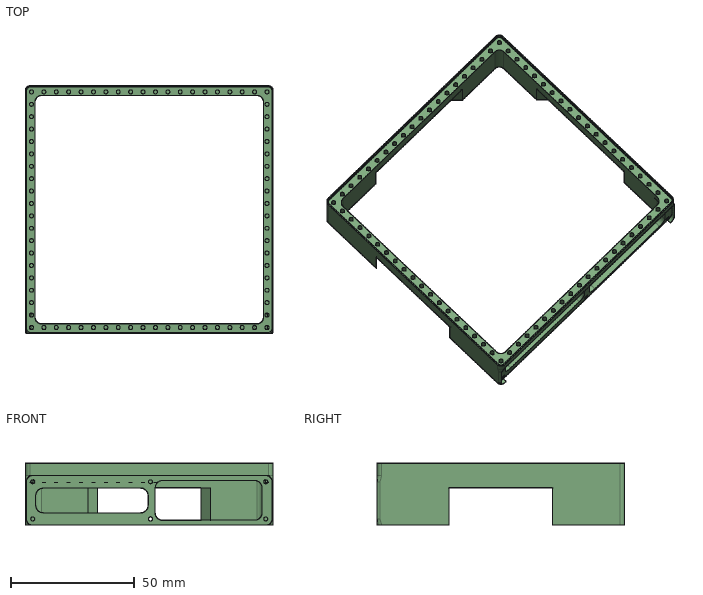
import cadquery as cq
import math

side = 100.0
height = 25.0
wall = 4.0
inner_corner_radius = 2.5
outer_corner_radius = 2.0

rim_width = 0.5
rim_height = 1.6

hole_diameter = 1.6
hole_inset = 2.5
hole_pitch = 5.0
hole_floor_z = 17.2

notch_height = 15.0
notch_outer_width = 41.6

panel_height = 20.0
panel_depth = 1.6
panel_corner_radius = 2.5
lip_inset = 0.45
lip_center_y = 1.3

screw_x_positions = (3.0, 50.5, 97.0)
screw_z_positions = (2.5, 17.5)
screw_depth = 8.0

small_window = (4.2, 49.5, 5.0, 14.9)
large_window = (52.4, 95.5, 2.0, 18.0)
window_corner_radius = 3.0

margin = 1.0


def front_prism(x_start, x_end, z_start, z_end, depth, corner_radius):
    """Rounded rectangle in XZ, running from ahead of the front face to the given depth."""
    return (
        cq.Workplane("XY")
        .box(x_end - x_start, depth + margin, z_end - z_start, centered=False)
        .translate((x_start, -margin, z_start))
        .edges("|Y")
        .fillet(corner_radius)
    )


def wall_ring():
    outer = cq.Workplane("XY").box(side, side, height, centered=False)
    outer = outer.edges("|Z and >Y").fillet(outer_corner_radius)
    opening_side = side - 2 * wall
    opening = (
        cq.Workplane("XY")
        .box(opening_side, opening_side, height, centered=False)
        .edges("|Z")
        .fillet(inner_corner_radius)
        .translate((wall, wall, 0))
    )
    return outer.cut(opening)


def corner_section(plane, center_y):
    """Waste outside a rounded left front corner whose arc is centred at center_y."""
    radius = outer_corner_radius
    diagonal = radius * (1 - math.sqrt(0.5))
    front_y = center_y - radius
    return (
        plane.moveTo(0, center_y)
        .threePointArc((diagonal, front_y + diagonal), (radius, front_y))
        .lineTo(radius, front_y - margin)
        .lineTo(-margin, front_y - margin)
        .lineTo(-margin, center_y)
        .close()
    )


def left_front_corner_waste():
    """Corner rounding that moves forward beside the panel, so its lip reaches the front."""
    low_z = panel_corner_radius
    high_z = panel_height - panel_corner_radius
    levels = (
        (0, outer_corner_radius),
        (low_z, lip_center_y),
        (high_z, lip_center_y),
        (panel_height, outer_corner_radius),
        (height, outer_corner_radius),
    )
    waste = cq.Workplane("XY")
    for (z_start, start_y), (z_end, end_y) in zip(levels, levels[1:]):
        section = corner_section(cq.Workplane("XY").workplane(offset=z_start), start_y)
        section = corner_section(section.workplane(offset=z_end - z_start), end_y)
        waste = waste.add(section.loft(ruled=True))
    return waste.combine()


def top_recess():
    recess_side = side - 2 * rim_width
    return (
        cq.Workplane("XY")
        .box(recess_side, recess_side, rim_height, centered=False)
        .edges("|Z")
        .fillet(outer_corner_radius - rim_width)
        .translate((rim_width, rim_width, height - rim_height))
    )


def top_holes():
    count = round((side - 2 * hole_inset) / hole_pitch) + 1
    stations = [hole_inset + hole_pitch * i for i in range(count)]
    ends = (stations[0], stations[-1])
    points = [(x, y) for x in stations for y in stations if x in ends or y in ends]
    return (
        cq.Workplane("XY", origin=(0, 0, hole_floor_z))
        .pushPoints(points)
        .circle(hole_diameter / 2)
        .extrude(height - hole_floor_z)
    )


def rear_notch():
    middle = side / 2
    half_width = notch_outer_width / 2
    return (
        cq.Workplane("XY")
        .polyline(
            [
                (middle - half_width, side),
                (middle + half_width, side),
                (middle + half_width + wall, side - wall),
                (middle - half_width - wall, side - wall),
            ]
        )
        .close()
        .extrude(notch_height)
    )


def screw_holes():
    points = [(x, z) for x in screw_x_positions for z in screw_z_positions]
    return (
        cq.Workplane("XZ")
        .pushPoints(points)
        .circle(hole_diameter / 2)
        .extrude(-screw_depth)
    )


frame = wall_ring()

corner_waste = left_front_corner_waste()
frame = frame.cut(corner_waste)
frame = frame.cut(corner_waste.mirror("YZ", (side / 2, 0, 0)))

frame = frame.cut(top_recess())
frame = frame.cut(top_holes())

for turn in (-90, 0, 90):
    notch = rear_notch().rotate((side / 2, side / 2, 0), (side / 2, side / 2, 1), turn)
    frame = frame.cut(notch)

frame = frame.cut(
    front_prism(lip_inset, side - lip_inset, 0, panel_height, panel_depth, panel_corner_radius)
)
for window in (small_window, large_window):
    frame = frame.cut(front_prism(*window, wall + inner_corner_radius, window_corner_radius))
frame = frame.cut(screw_holes())

result = frame